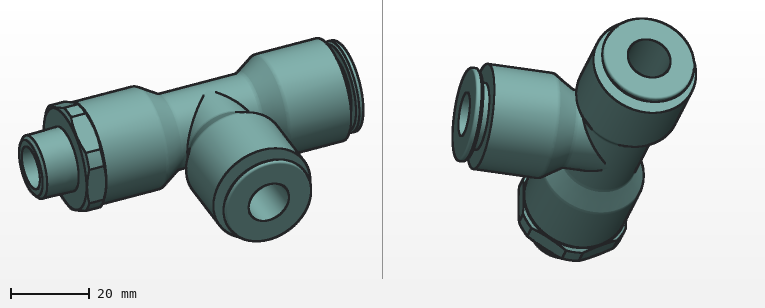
import cadquery as cq
import math


stem_radius = 10.0
socket_radius = 13.5
cone_start = 11.2
cone_end = 16.9
flare_blend_radius = 1.6
socket_end = 34.0

collar_neck_radius = 8.6
collar_radius = 12.0
collar_thickness = 2.0
collar_end = 38.3
collar_edge_radius = 0.55
collar_chamfer = 0.65

hex_across_flats = 2 * socket_radius
hex_corner_radius = 14.48
hex_end = 39.5
hex_face_radius = 13.3
hex_chamfer_length = 0.7

thread_base_radius = 8.5
thread_gauge_radius = 8.36
thread_front_radius = 8.32
thread_tip_radius = 7.35
thread_gauge = 44.45
thread_end = 49.0
thread_chamfer_length = 0.85

bore_radius = 5.6


def revolve_about_y(profile):
    return profile.close().revolve(360, (0, 0, 0), (0, 1, 0))


def make_arm():
    """Half of the run along +Y: stem, flare and socket body."""
    arm = revolve_about_y(
        cq.Workplane("XY")
        .lineTo(stem_radius, 0)
        .lineTo(stem_radius, cone_start)
        .lineTo(socket_radius, cone_end)
        .lineTo(socket_radius, socket_end)
        .lineTo(0, socket_end)
    )
    beyond_body = 2 * socket_radius
    flare_box = cq.selectors.BoxSelector(
        (-beyond_body, cone_start / 2, -beyond_body),
        (beyond_body, (cone_end + socket_end) / 2, beyond_body),
    )
    return arm.edges("%CIRCLE").edges(flare_box).fillet(flare_blend_radius)


def make_collar():
    """Release collar at the +Y end: a neck carrying a flange, round outside and beveled inside."""
    collar_start = collar_end - collar_thickness
    neck = cq.Workplane("XZ", origin=(0, socket_end, 0)).circle(collar_neck_radius)
    neck = neck.extrude(socket_end - collar_end)
    flange = cq.Workplane("XZ", origin=(0, collar_start, 0)).circle(collar_radius)
    flange = flange.extrude(-collar_thickness)
    flange = flange.faces(">Y").edges().fillet(collar_edge_radius)
    flange = flange.faces("<Y").edges().chamfer(collar_chamfer)
    return neck.union(flange)


def make_hex():
    """Hexagon with flats facing +X and -X, its corners turned and chamfered."""
    across_corners = hex_across_flats / math.cos(math.pi / 6)
    prism = (
        cq.Workplane("XZ", origin=(0, -socket_end, 0))
        .transformed(rotate=(0, 0, 30))
        .polygon(6, across_corners)
        .extrude(hex_end - socket_end)
    )
    turned_envelope = revolve_about_y(
        cq.Workplane("XY")
        .moveTo(0, -socket_end)
        .lineTo(hex_face_radius, -socket_end)
        .lineTo(hex_corner_radius, -socket_end - hex_chamfer_length)
        .lineTo(hex_corner_radius, -hex_end + hex_chamfer_length)
        .lineTo(hex_face_radius, -hex_end)
        .lineTo(0, -hex_end)
    )
    return prism.intersect(turned_envelope)


def make_thread():
    """Tapered thread envelope with a chamfered tip."""
    chamfer_start = thread_end - thread_chamfer_length
    return revolve_about_y(
        cq.Workplane("XY")
        .moveTo(0, -hex_end)
        .lineTo(thread_base_radius, -hex_end)
        .lineTo(thread_gauge_radius, -thread_gauge)
        .lineTo(thread_front_radius, -chamfer_start)
        .lineTo(thread_tip_radius, -thread_end)
        .lineTo(0, -thread_end)
    )


def turn_about_z(shape, angle):
    return shape.rotate((0, 0, 0), (0, 0, 1), angle)


arm = make_arm()
port = arm.union(make_collar())
branch = turn_about_z(port, -90)
threaded_arm = turn_about_z(arm, 180).union(make_hex()).union(make_thread())

run_bore = cq.Workplane("XZ", origin=(0, -thread_end, 0)).circle(bore_radius)
run_bore = run_bore.extrude(-(thread_end + collar_end))
branch_bore = cq.Workplane("YZ").circle(bore_radius).extrude(collar_end)

result = port.union(threaded_arm).union(branch).cut(run_bore).cut(branch_bore)